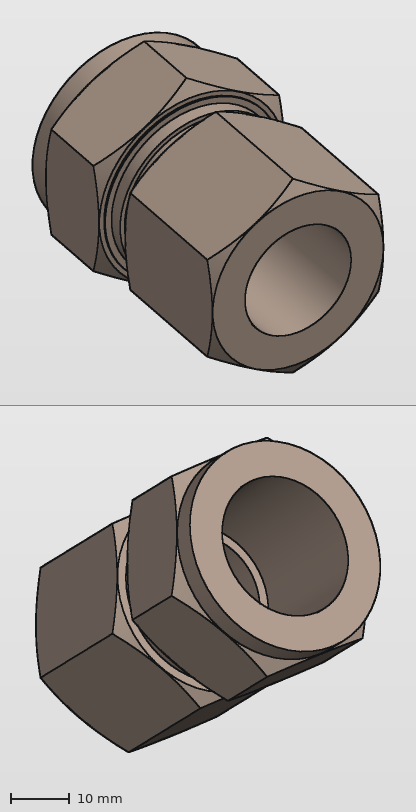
import cadquery as cq
import math


total_length = 53.4
collar_end = 4.2
nut_end = 20.65
washer_face_end = 21.05
wide_neck_end = 23.7
body_start = 26.45

nut_flats = 38.0
body_flats = 35.05
washer_face_diameter = 36.0
wide_neck_diameter = 33.45
narrow_neck_diameter = 31.6

chamfer_angle = 30.0
chamfer_circle_inset = 0.05

tube_diameter = 25.1
tube_depth = body_start
through_diameter = 21.75

overlap = 0.55


def cylinder(start, end, diameter):
    """Round bar along X between two stations."""
    return cq.Workplane("YZ", origin=(start, 0, 0)).circle(diameter / 2).extrude(end - start)


def chamfered_hexagon(start, end, flats):
    """Hexagonal bar along X, corners up and down, with both ends turned to a cone."""
    corner_radius = flats / math.sqrt(3)
    end_radius = flats / 2 - chamfer_circle_inset
    chamfer_length = (corner_radius - end_radius) * math.tan(math.radians(chamfer_angle))

    prism = (
        cq.Workplane("YZ", origin=(start, 0, 0))
        .transformed(rotate=(0, 0, 90))
        .polygon(6, 2 * corner_radius)
        .extrude(end - start)
    )
    turned_blank = (
        cq.Workplane("XY")
        .moveTo(start, 0)
        .lineTo(start, end_radius)
        .lineTo(start + chamfer_length, corner_radius)
        .lineTo(end - chamfer_length, corner_radius)
        .lineTo(end, end_radius)
        .lineTo(end, 0)
        .close()
        .revolve(360, (0, 0, 0), (1, 0, 0))
    )
    return prism.intersect(turned_blank)


collar = cylinder(0, collar_end, nut_flats - 2 * chamfer_circle_inset)
nut = chamfered_hexagon(collar_end, nut_end, nut_flats)
washer_face = cylinder(nut_end - overlap, washer_face_end, washer_face_diameter)

wide_neck = cylinder(washer_face_end - overlap, wide_neck_end, wide_neck_diameter)
narrow_neck = cylinder(wide_neck_end - overlap, body_start + overlap, narrow_neck_diameter)
body = chamfered_hexagon(body_start, total_length, body_flats)

outside = collar.union(nut).union(washer_face).union(wide_neck).union(narrow_neck).union(body)

tube_socket = cylinder(0, tube_depth, tube_diameter)
through_hole = cylinder(0, total_length, through_diameter)

result = outside.cut(tube_socket).cut(through_hole)